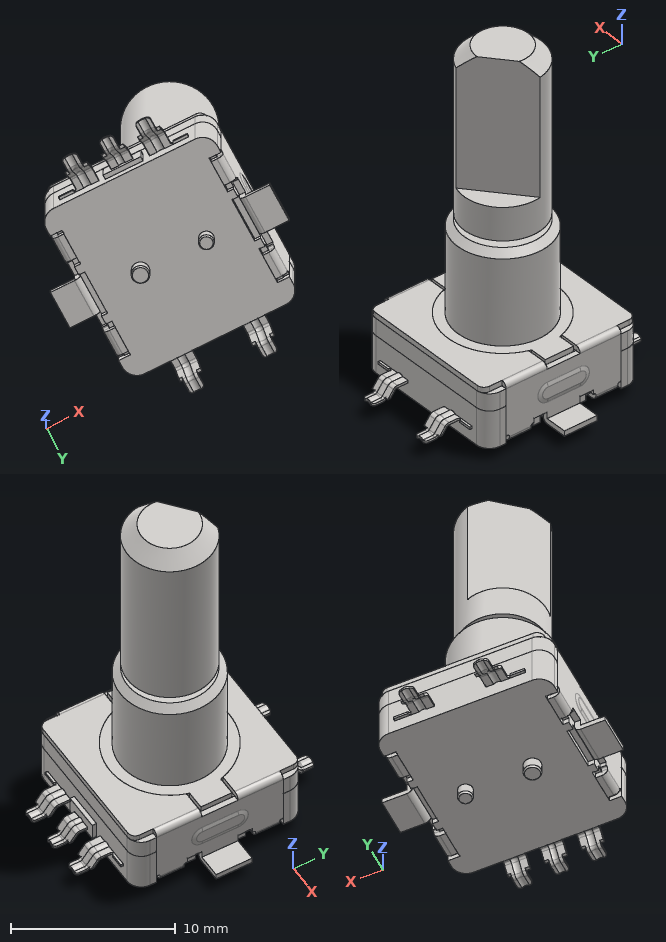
import cadquery as cq
import math

sheet = 0.4

housing_half_x = 5.85
housing_half_y = 6.0
corner_radius = 1.0
base_top = 2.8
housing_top = 4.1
cover_top = housing_top + sheet

plate_half_x = housing_half_x - sheet
plate_corner_radius = 0.53
opening_radius = 4.28
slot_half_width = 1.3
arm_half_width = 4.5

lug_span = 15.0
lug_tip_x = lug_span / 2
notch_top = 0.89
notch_half_span = 2.33
relief_top = 0.55
relief_radius = 0.13
tab_inner_y = 2.53
tab_outer_y = 4.25
tab_end_x = plate_half_x - sheet

bump_z = 2.38
bump_height = 0.08
bump_straight = 2.55
bump_diameter = 1.47
bump_top_diameter = 0.85

tongue_half_width = 1.11
bushing_diameter = 7.0
bushing_top = 11.5
bushing_chamfer = 0.5

neck_diameter = 3.0
shaft_diameter = 6.0
shaft_bottom = 12.0
shaft_top = 24.5
shaft_chamfer = 1.0
flat_distance = 1.5
flat_bottom = 14.5
flat_angle = 130

lug_pocket_half_width = 1.5
tab_pocket_inner_y = 2.07
pin_bottom = -0.8
pin_chamfer_height = 0.15
pin_chamfer_inset = 0.08
pin_places = [(-2.0, 1.15), (2.5, 0.95)]
block_width = 2.58
block_bottom = 0.68
block_top = 1.87
block_depth = 0.3

lead_pitch = 2.5
lead_thickness = 0.18
lead_width = 1.5
lead_tip_y = 8.5
lead_height = 1.1
foot_height = 0.28
upper_bend_y = 6.98
lower_bend_y = 7.62
bend_radius = 0.3
rib_rise = 0.1
foot_corner = 0.23
wide_bottom = 0.45
side_lead_inset = 0.03
side_foot_width = 0.99
side_rib_width = 0.5
middle_foot_width = 0.9
middle_rib_width = 0.43
wing_reach = 1.9
wing_depth = 0.18
wing_gap_radius = 0.1


def box(x_range, y_range, z_range):
    """Axis-aligned box given by its limits."""
    (x0, x1), (y0, y1), (z0, z1) = x_range, y_range, z_range
    return cq.Workplane("XY").box(x1 - x0, y1 - y0, z1 - z0, centered=False).translate((x0, y0, z0))


def both_x(body):
    """The body together with its mirror image in X."""
    return body.union(body.mirror("YZ"))


def both_y(body):
    """The body together with its mirror image in Y."""
    return body.union(body.mirror("XZ"))


def rounded_block(half_x, half_y, radius, bottom, top):
    block = box((-half_x, half_x), (-half_y, half_y), (bottom, top))
    return block.edges("|Z").fillet(radius)


def housing_layer(bottom, top):
    """Slice of the housing, with flats at both ends of X that receive the cover's arms."""
    flat = box((plate_half_x, housing_half_x), (-arm_half_width, arm_half_width), (bottom, top))
    layer = rounded_block(housing_half_x, housing_half_y, corner_radius, bottom, top)
    return layer.cut(both_x(flat))


def keyhole(slot_half):
    """Disc and cross strip through the thickness of the cover plate."""
    disc = cq.Workplane("XY", origin=(0, 0, housing_top)).circle(opening_radius).extrude(sheet)
    strip = box((-plate_half_x, plate_half_x), (-slot_half, slot_half), (housing_top, cover_top))
    return disc.union(strip)


def make_shaft():
    neck = cq.Workplane("XY", origin=(0, 0, base_top)).circle(neck_diameter / 2)
    neck = neck.extrude(shaft_bottom - base_top)
    shaft = cq.Workplane("XY", origin=(0, 0, shaft_bottom)).circle(shaft_diameter / 2)
    shaft = shaft.extrude(shaft_top - shaft_bottom).faces(">Z").chamfer(shaft_chamfer)
    flat_cut = box(
        (flat_distance, shaft_diameter),
        (-shaft_diameter, shaft_diameter),
        (flat_bottom, shaft_top),
    )
    flat_cut = flat_cut.rotate((0, 0, 0), (0, 0, 1), flat_angle)
    return shaft.cut(flat_cut).union(neck)


def make_upper_housing():
    bushing = cq.Workplane("XY", origin=(0, 0, housing_top)).circle(bushing_diameter / 2)
    bushing = bushing.extrude(bushing_top - housing_top).faces(">Z").chamfer(bushing_chamfer)
    bore = cq.Workplane("XY", origin=(0, 0, base_top)).circle(neck_diameter / 2)
    bore = bore.extrude(bushing_top - base_top)
    body = housing_layer(base_top, housing_top)
    return body.union(keyhole(tongue_half_width)).union(bushing).cut(bore)


def make_pin(x, diameter):
    pin = cq.Workplane("XY", origin=(x, 0, 0)).circle(diameter / 2).extrude(pin_bottom)
    return pin.faces("<Z").chamfer(pin_chamfer_height, pin_chamfer_inset)


def make_base():
    base = housing_layer(0, base_top)
    pocket_x = (tab_end_x, plate_half_x)
    lug_pocket = box(pocket_x, (-lug_pocket_half_width, lug_pocket_half_width), (0, sheet))
    tab_pocket = box(pocket_x, (tab_pocket_inner_y, arm_half_width), (0, sheet))
    base = base.cut(both_x(lug_pocket)).cut(both_x(both_y(tab_pocket)))
    block = box(
        (-block_width / 2, block_width / 2),
        (-housing_half_y - block_depth, -housing_half_y),
        (block_bottom, block_top),
    )
    base = base.union(block)
    for x, diameter in pin_places:
        base = base.union(make_pin(x, diameter))
    return base


def across_arm(outline, y0, y1):
    """Extrude a closed XZ outline from y0 to y1."""
    return outline.close().extrude(y0 - y1).translate((0, y0, 0))


def arc_middle(radius, x_sign, z_sign, center):
    """Middle point of a quarter arc around the given centre."""
    offset = radius * math.sqrt(0.5)
    return (center[0] + x_sign * offset, center[1] + z_sign * offset)


def make_bump():
    def oblong(x, diameter):
        plane = cq.Workplane("YZ", origin=(x, 0, bump_z))
        return plane.slot2D(bump_straight + diameter, diameter)

    bump = oblong(housing_half_x, bump_diameter)
    bump = bump.workplane(offset=bump_height)
    return bump.slot2D(bump_straight + bump_top_diameter, bump_top_diameter).loft()


def make_arm():
    inner, outer = plate_half_x, housing_half_x

    sheet_outline = (
        cq.Workplane("XZ")
        .moveTo(inner, notch_top)
        .lineTo(outer, notch_top)
        .lineTo(outer, housing_top)
        .threePointArc(arc_middle(sheet, 1, 1, (inner, housing_top)), (inner, cover_top))
    )
    arm = across_arm(sheet_outline, -arm_half_width, arm_half_width)
    slot = box((inner, outer), (-slot_half_width, slot_half_width), (housing_top, cover_top))
    arm = arm.cut(slot).union(make_bump())

    lug_outline = (
        cq.Workplane("XZ")
        .moveTo(inner, notch_top)
        .lineTo(inner, sheet)
        .threePointArc(arc_middle(sheet, -1, -1, (outer, sheet)), (outer, 0))
        .lineTo(lug_tip_x, 0)
        .lineTo(lug_tip_x, sheet)
        .lineTo(outer, sheet)
        .lineTo(outer, notch_top)
    )
    arm = arm.union(across_arm(lug_outline, -slot_half_width, slot_half_width))

    tab_outline = (
        cq.Workplane("XZ")
        .moveTo(outer, notch_top)
        .lineTo(outer, sheet)
        .threePointArc(arc_middle(sheet, 1, -1, (inner, sheet)), (inner, 0))
        .lineTo(tab_end_x, 0)
        .lineTo(tab_end_x, sheet)
        .lineTo(inner, sheet)
        .lineTo(inner, notch_top)
    )
    tab = across_arm(tab_outline, tab_inner_y, tab_outer_y)
    tab = tab.union(box((inner, outer), (notch_half_span, arm_half_width), (relief_top, notch_top)))
    for y in (tab_inner_y, tab_outer_y):
        corner = cq.selectors.BoxSelector(
            (inner - sheet, y - relief_radius, relief_top - relief_radius / 2),
            (outer + sheet, y + relief_radius, relief_top + relief_radius / 2),
        )
        tab = tab.edges("|X").edges(corner).fillet(relief_radius)
    return arm.union(both_y(tab))


def make_cover():
    plate = rounded_block(plate_half_x, housing_half_y, plate_corner_radius, housing_top, cover_top)
    return plate.cut(keyhole(slot_half_width)).union(both_x(make_arm()))


def ribbed_strip(start_y, strip_width, rib_width):
    """Bent strip with a rib pressed up along its middle."""
    slope = math.atan2(lead_height - foot_height, lower_bend_y - upper_bend_y)
    tangent = bend_radius * math.tan(slope / 2)
    along_y, along_z = math.cos(slope), -math.sin(slope)
    half_y, half_z = math.sin(slope / 2), 1 - math.cos(slope / 2)

    upper_start = upper_bend_y - tangent
    upper_end = (upper_bend_y + tangent * along_y, lead_height + tangent * along_z)
    lower_start = (lower_bend_y - tangent * along_y, foot_height - tangent * along_z)
    lower_end = lower_bend_y + tangent
    path = (
        cq.Workplane("YZ")
        .moveTo(start_y, lead_height)
        .lineTo(upper_start, lead_height)
        .threePointArc(
            (upper_start + bend_radius * half_y, lead_height - bend_radius * half_z), upper_end
        )
        .lineTo(*lower_start)
        .threePointArc(
            (lower_end - bend_radius * half_y, foot_height + bend_radius * half_z),
            (lower_end, foot_height),
        )
        .lineTo(lead_tip_y, foot_height)
    )

    half, rib, up = strip_width / 2, rib_width / 2, lead_thickness / 2
    section = (
        cq.Workplane("XZ", origin=(0, start_y, lead_height))
        .moveTo(-half, -up)
        .lineTo(-rib, -up)
        .threePointArc((0, rib_rise - up), (rib, -up))
        .lineTo(half, -up)
        .lineTo(half, up)
        .lineTo(rib, up)
        .threePointArc((0, rib_rise + up), (-rib, up))
        .lineTo(-half, up)
        .close()
    )
    return section.sweep(path)


def lead_blank(start_y, foot_width, wide_offset):
    """Limits of a lead: wide down to a level above the foot, narrow below it."""
    wide_x = (wide_offset - lead_width / 2, wide_offset + lead_width / 2)
    wide = box(wide_x, (start_y, lead_tip_y), (wide_bottom, block_top))
    foot = box((-foot_width / 2, foot_width / 2), (start_y, lead_tip_y), (0, block_top))
    foot = foot.edges("|Z and >Y").fillet(foot_corner)
    return wide.union(foot)


def make_middle_lead():
    start_y = housing_half_y + block_depth
    strip = ribbed_strip(start_y, lead_width, middle_rib_width)
    return strip.intersect(lead_blank(start_y, middle_foot_width, 0))


def make_side_lead():
    """Lead whose wing points to +X."""
    start_y = housing_half_y
    strip_width = lead_width + 2 * side_lead_inset
    strip = ribbed_strip(start_y, strip_width, side_rib_width)
    lead = strip.intersect(lead_blank(start_y, side_foot_width, -side_lead_inset))
    wing_start = lead_width / 2 - side_lead_inset
    z_range = (lead_height - lead_thickness / 2, lead_height + lead_thickness / 2)
    wing = box((wing_start, wing_reach), (start_y, start_y + wing_depth), z_range)
    gap = cq.Workplane("XY", origin=(wing_start + wing_gap_radius, start_y + wing_depth, 0))
    gap = gap.circle(wing_gap_radius).extrude(block_top)
    return lead.union(wing.cut(gap))


def make_leads():
    right_back = make_side_lead().translate((lead_pitch, 0, 0))
    leads = [make_middle_lead().mirror("XZ")]
    for lead in (right_back, right_back.mirror("XZ")):
        leads.append(lead)
        leads.append(lead.mirror("YZ"))
    return leads


shaft = make_shaft()
upper_housing = make_upper_housing()
base = make_base()
cover = make_cover()
leads = make_leads()

bodies = [shaft, upper_housing, base, cover, *leads]
result = cq.Compound.makeCompound([body.solids().val() for body in bodies])